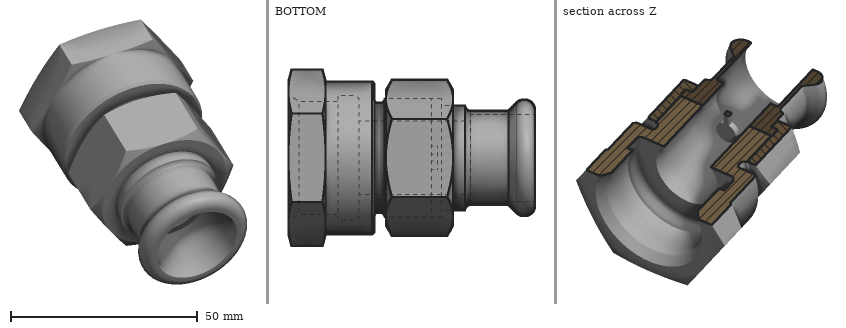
import cadquery as cq
import math

LENGTH = 66.0

ADAPTER_FLATS = 41.0
ADAPTER_HEX_LENGTH = 9.95
ADAPTER_CORNER_ANGLE = 15.0
COLLAR_END = 23.05
COLLAR_CHAMFER = 0.65
NECK_DIAMETER = 29.5
NECK_COLLAR_FILLET = 0.7
NECK_SPIGOT_FILLET = 1.0
SPIGOT_START = 25.75
SPIGOT_DIAMETER = 31.8
SPIGOT_CHAMFER = 0.25
SPIGOT_END = 38.3

SOCKET_DIAMETER = 30.3
SOCKET_MOUTH_DIAMETER = 33.85
SOCKET_CHAMFER_DEPTH = 2.8
RELIEF_START = 13.3
RELIEF_DIAMETER = 33.25
RELIEF_FILLET = 1.3
SOCKET_DEPTH = 18.95
PASSAGE_DIAMETER = 19.6

NUT_FLATS = 36.2
NUT_START = 26.1
NUT_END = 44.1
NUT_CORNER_ANGLE = 30.0
NUT_SHOULDER = 40.9

TAIL_COLLAR_DIAMETER = 28.1
TAIL_COLLAR_END = 47.25
TAIL_FILLET = 1.45
TUBE_DIAMETER = 25.2
BEAD_RADIUS = 2.9
BEAD_DIAMETER = 31.3
PRESS_SOCKET_DIAMETER = 23.3
PRESS_SOCKET_START = TAIL_COLLAR_END + TAIL_FILLET

BUTTON_DIAMETER = 6.35
STRUT_WIDTH = 1.65
STOP_THICKNESS = 1.65
STRUT_EMBEDMENT = 0.65


def revolve_about_x(profile):
    """Turn a closed half profile about the X axis."""
    return profile.close().revolve(360, (0, 0, 0), (1, 0, 0))


def cylinder(start, end, diameter):
    return cq.Workplane("YZ").workplane(offset=start).circle(diameter / 2).extrude(end - start)


def chamfered_hexagon(start, end, flats, corner_angle):
    """Hexagon with flats up and down, its corners turned off by a cone at both ends."""
    corner_radius = flats / math.sqrt(3)
    chamfer_length = (corner_radius - flats / 2) * math.tan(math.radians(corner_angle))
    hexagon = (
        cq.Workplane("YZ").workplane(offset=start).polygon(6, 2 * corner_radius).extrude(end - start)
    )
    envelope = revolve_about_x(
        cq.Workplane("XY")
        .moveTo(start, 0)
        .lineTo(start, flats / 2)
        .lineTo(start + chamfer_length, corner_radius)
        .lineTo(end - chamfer_length, corner_radius)
        .lineTo(end, flats / 2)
        .lineTo(end, 0)
    )
    return hexagon.intersect(envelope)


def adapter_turned_body():
    """Collar, filleted neck and spigot."""
    collar_radius = ADAPTER_FLATS / 2
    neck_radius = NECK_DIAMETER / 2
    spigot_radius = SPIGOT_DIAMETER / 2
    return revolve_about_x(
        cq.Workplane("XY")
        .moveTo(ADAPTER_HEX_LENGTH, 0)
        .lineTo(ADAPTER_HEX_LENGTH, collar_radius)
        .lineTo(COLLAR_END - COLLAR_CHAMFER, collar_radius)
        .lineTo(COLLAR_END, collar_radius - COLLAR_CHAMFER)
        .lineTo(COLLAR_END, neck_radius + NECK_COLLAR_FILLET)
        .radiusArc((COLLAR_END + NECK_COLLAR_FILLET, neck_radius), -NECK_COLLAR_FILLET)
        .lineTo(SPIGOT_START - NECK_SPIGOT_FILLET, neck_radius)
        .radiusArc((SPIGOT_START, neck_radius + NECK_SPIGOT_FILLET), -NECK_SPIGOT_FILLET)
        .lineTo(SPIGOT_START + SPIGOT_CHAMFER, spigot_radius)
        .lineTo(SPIGOT_END, spigot_radius)
        .lineTo(SPIGOT_END, 0)
    )


def adapter_socket():
    """Socket with a chamfered mouth and a relief groove rounded into the floor."""
    socket_radius = SOCKET_DIAMETER / 2
    relief_radius = RELIEF_DIAMETER / 2
    return revolve_about_x(
        cq.Workplane("XY")
        .lineTo(0, SOCKET_MOUTH_DIAMETER / 2)
        .lineTo(SOCKET_CHAMFER_DEPTH, socket_radius)
        .lineTo(RELIEF_START, socket_radius)
        .lineTo(RELIEF_START, relief_radius)
        .lineTo(SOCKET_DEPTH - RELIEF_FILLET, relief_radius)
        .radiusArc((SOCKET_DEPTH, relief_radius - RELIEF_FILLET), RELIEF_FILLET)
        .lineTo(SOCKET_DEPTH, 0)
    )


def make_adapter():
    hexagon = chamfered_hexagon(0, ADAPTER_HEX_LENGTH, ADAPTER_FLATS, ADAPTER_CORNER_ANGLE)
    passage = cylinder(0, SPIGOT_END, PASSAGE_DIAMETER)
    return hexagon.union(adapter_turned_body()).cut(adapter_socket()).cut(passage)


def make_nut():
    hexagon = chamfered_hexagon(NUT_START, NUT_END, NUT_FLATS, NUT_CORNER_ANGLE)
    spigot_bore = cylinder(NUT_START, NUT_SHOULDER, SPIGOT_DIAMETER)
    collar_bore = cylinder(NUT_SHOULDER, NUT_END, TAIL_COLLAR_DIAMETER)
    return hexagon.cut(spigot_bore).cut(collar_bore)


def tail_turned_body():
    """Retaining flange, collar, tube and rounded bead at the open end."""
    flange_radius = SPIGOT_DIAMETER / 2
    collar_radius = TAIL_COLLAR_DIAMETER / 2
    tube_radius = TUBE_DIAMETER / 2
    bead_center_x = LENGTH - BEAD_RADIUS
    bead_center_radius = BEAD_DIAMETER / 2 - BEAD_RADIUS
    diagonal = BEAD_RADIUS * math.sqrt(0.5)
    cone_end_x = bead_center_x - diagonal
    cone_end_radius = bead_center_radius + diagonal
    cone_start_x = cone_end_x - (cone_end_radius - tube_radius)
    return revolve_about_x(
        cq.Workplane("XY")
        .moveTo(SPIGOT_END, 0)
        .lineTo(SPIGOT_END, flange_radius)
        .lineTo(NUT_SHOULDER, flange_radius)
        .lineTo(NUT_SHOULDER, collar_radius)
        .lineTo(TAIL_COLLAR_END, collar_radius)
        .radiusArc((TAIL_COLLAR_END + TAIL_FILLET, tube_radius), -TAIL_FILLET)
        .lineTo(cone_start_x, tube_radius)
        .lineTo(cone_end_x, cone_end_radius)
        .threePointArc(
            (bead_center_x, bead_center_radius + BEAD_RADIUS), (LENGTH, bead_center_radius)
        )
        .lineTo(LENGTH, 0)
    )


def tail_stop():
    """Button on the axis, held by a strut that runs up into the passage wall."""
    button = cylinder(SPIGOT_END, SPIGOT_END + STOP_THICKNESS, BUTTON_DIAMETER)
    strut_length = PASSAGE_DIAMETER / 2 + STRUT_EMBEDMENT
    strut = (
        cq.Workplane("XY")
        .box(STOP_THICKNESS, STRUT_WIDTH, strut_length, centered=(False, True, False))
        .translate((SPIGOT_END, 0, 0))
    )
    return button.union(strut)


def make_tail():
    passage = cylinder(SPIGOT_END, LENGTH, PASSAGE_DIAMETER)
    press_socket = cylinder(PRESS_SOCKET_START, LENGTH, PRESS_SOCKET_DIAMETER)
    return tail_turned_body().cut(passage).cut(press_socket).union(tail_stop())


adapter = make_adapter()
nut = make_nut()
tail = make_tail()

result = cq.Compound.makeCompound([adapter.solids().val(), nut.solids().val(), tail.solids().val()])